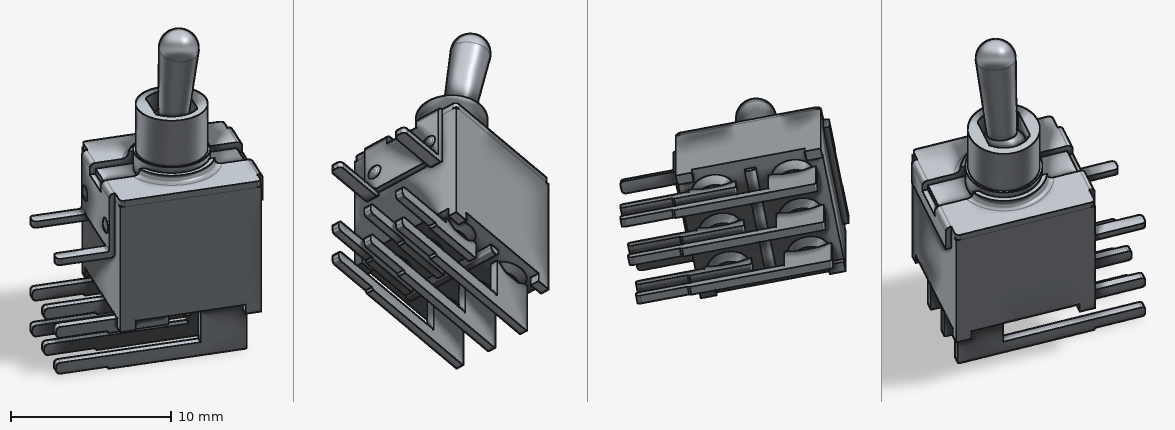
import cadquery as cq
import math

body_x = 8.13
body_y = 9.2
body_top = 8.87
recess_height = 0.65
recess_x = 6.9
recess_y = 7.18
rib_width = 0.7
rib_bottom = 0.12

plate_thickness = 0.42
plate_top = body_top + plate_thickness
plate_corner_radius = 0.27
tab_thickness = 0.375
tab_bend_radius = 0.35
rear_tab_x = 6.37
rear_tab_bottom = 7.44
front_tab_x = 5.9
slot_x = 2.36
slot_tab_bottom = 8.51
collar_radius = 2.72
collar_flare_radius = 0.4
collar_height = 0.46

leg_width = 0.81
leg_thickness = 0.45
leg_top = 5.19
leg_outer_bend = 0.28
leg_inner_bend = 0.12
tip_radius = 0.27
pin_end_y = -8.375

rivet_spacing = 4.36
rivet_z = 6.67
rivet_base_radius = 0.5
rivet_dome_radius = 0.35
rivet_flat_radius = 0.16
rivet_shoulder = 0.08
rivet_height = 0.14

flange_diameter = 4.8
flange_top = 10.15
bushing_diameter = 4.5
bushing_top = 13.39
bore_diameter = 3.45
bore_flats = 2.7

tilt_angle = 12.0
pivot_z = 10.97
ball_center_z = 11.4
ball_radius = 1.62
lever_length = 7.265
lever_root_radius = 0.84
lever_tip_radius = 1.265

pin_pitch = 2.54
pin_thickness = 0.52
lug_width = 3.0
pin_height = 0.94
blade_height = 0.79
step_y = -4.95
step_length = 0.14
heel_radius = 0.12
upper_pin_bottom = -0.66

mound_bottom = 0.27
mound_tip = (0.4, 0.79)
mound_base = (0.95, 1.33)


def slab(size_x, y_near, y_far, z_low, z_high):
    """Box centred on X = 0 between the given Y and Z limits."""
    box = cq.Workplane("XY").box(size_x, y_far - y_near, z_high - z_low, centered=(True, False, False))
    return box.translate((0, y_near, z_low))


def make_housing():
    """Block with a foot at each corner and a round-edged rib under its middle."""
    block = slab(body_x, -body_y / 2, body_y / 2, 0, body_top)
    block = block.cut(slab(recess_x, -body_y / 2, body_y / 2, 0, recess_height))
    block = block.cut(slab(body_x, -recess_y / 2, recess_y / 2, 0, recess_height))
    half_rib = rib_width / 2
    rib = (
        cq.Workplane("YZ")
        .moveTo(-half_rib, recess_height)
        .lineTo(-half_rib, rib_bottom + half_rib)
        .threePointArc((0, rib_bottom), (half_rib, rib_bottom + half_rib))
        .lineTo(half_rib, recess_height)
        .close()
        .extrude(recess_x / 2, both=True)
    )
    return block.union(rib)


def make_collar():
    """Ring on the plate whose outside flares out to meet the plate."""
    flare_end = collar_radius + collar_flare_radius
    flare_top = plate_top + collar_flare_radius
    collar_top = plate_top + collar_height
    chord_offset = collar_flare_radius * (1 - math.sqrt(0.5))
    return (
        cq.Workplane("XZ")
        .moveTo(0, plate_top)
        .lineTo(flare_end, plate_top)
        .threePointArc((collar_radius + chord_offset, plate_top + chord_offset), (collar_radius, flare_top))
        .lineTo(collar_radius, collar_top)
        .lineTo(0, collar_top)
        .close()
        .revolve(360, (0, 0, 0), (0, 1, 0))
    )


def make_frame():
    """Top plate, bent tabs at both ends, flared collar and the slot across them."""
    plate = slab(body_x, -body_y / 2, body_y / 2, body_top, plate_top)
    plate = plate.edges("|Z").fillet(plate_corner_radius)
    tab_y = body_y / 2 + tab_thickness
    rear_tab = slab(rear_tab_x, body_y / 2, tab_y, rear_tab_bottom, plate_top)
    rear_tab = rear_tab.edges(">Y and >Z").fillet(tab_bend_radius)
    rear_tab = rear_tab.cut(slab(slot_x, body_y / 2, tab_y, slot_tab_bottom, plate_top))
    front_tab = slab(front_tab_x, -tab_y, -body_y / 2, leg_top, plate_top)
    front_tab = front_tab.edges("<Y and >Z").fillet(tab_bend_radius)
    front_tab = front_tab.cut(slab(slot_x, -tab_y, -body_y / 2, slot_tab_bottom, plate_top))
    frame = plate.union(rear_tab).union(front_tab).union(make_collar())
    frame = frame.cut(slab(slot_x, -tab_y, tab_y, body_top, flange_top))
    for side in (-1, 1):
        leg_x = side * (front_tab_x - leg_width) / 2
        rivet_x = side * rivet_spacing / 2
        frame = frame.union(make_leg().translate((leg_x, 0, 0)))
        frame = frame.union(make_rivet().translate((rivet_x, -tab_y, rivet_z)))
    return frame


def make_leg():
    """Leg that bends from the front tab to the horizontal, with a rounded tip."""
    leg_bottom = leg_top - leg_thickness
    leg_root = -body_y / 2
    tab_face = leg_root - tab_thickness
    leg = slab(leg_width, pin_end_y, leg_root, leg_bottom, leg_top)
    leg = leg.edges("|Z and <Y").fillet(tip_radius)
    leg = leg.edges(">Y and <Z").fillet(leg_outer_bend)
    corner = slab(leg_width, tab_face - leg_inner_bend, tab_face, leg_top, leg_top + leg_inner_bend)
    round_cutter = (
        cq.Workplane("YZ")
        .center(tab_face - leg_inner_bend, leg_top + leg_inner_bend)
        .circle(leg_inner_bend)
        .extrude(leg_width, both=True)
    )
    return leg.union(corner.cut(round_cutter))


def make_rivet():
    """Low domed rivet head that rises toward -Y from the origin."""
    return (
        cq.Workplane("XY")
        .lineTo(rivet_base_radius, 0)
        .lineTo(rivet_dome_radius, -rivet_shoulder)
        .lineTo(rivet_flat_radius, -rivet_height)
        .lineTo(0, -rivet_height)
        .close()
        .revolve(360, (0, 0, 0), (0, 1, 0))
    )


def make_bushing():
    """Stepped sleeve with a flat-sided bore that ends at the middle of the lever ball."""
    flange = cq.Workplane("XY").workplane(offset=body_top).circle(flange_diameter / 2)
    flange = flange.extrude(flange_top - body_top)
    sleeve = cq.Workplane("XY").workplane(offset=body_top).circle(bushing_diameter / 2)
    sleeve = sleeve.extrude(bushing_top - body_top)
    bore = cq.Workplane("XY").workplane(offset=ball_center_z).circle(bore_diameter / 2)
    bore = bore.extrude(bushing_top - ball_center_z)
    bore = bore.intersect(slab(bore_diameter, -bore_flats / 2, bore_flats / 2, ball_center_z, bushing_top))
    return flange.union(sleeve).cut(bore)


def make_lever():
    """Tapered lever with a round tip on a ball that sits between the bore flats."""
    handle = (
        cq.Workplane("XZ")
        .lineTo(lever_root_radius, 0)
        .lineTo(lever_tip_radius, lever_length)
        .threePointArc(
            (lever_tip_radius * math.sqrt(0.5), lever_length + lever_tip_radius * math.sqrt(0.5)),
            (0, lever_length + lever_tip_radius),
        )
        .close()
        .revolve(360, (0, 0, 0), (0, 1, 0))
        .rotate((0, 0, 0), (0, 1, 0), tilt_angle)
        .translate((0, 0, pivot_z))
    )
    ball = cq.Workplane("XY").sphere(ball_radius)
    ball = ball.intersect(slab(2 * ball_radius, -bore_flats / 2, bore_flats / 2, -ball_radius, ball_radius))
    return ball.translate((0, 0, ball_center_z)).union(handle)


def make_terminal(lug_front, pin_bottom):
    """Flat lug that runs up into the housing, with a stepped blade toward -Y."""
    lug_back = lug_front + lug_width
    pin_top = pin_bottom + pin_height
    blade_bottom = pin_top - blade_height
    lug = slab(pin_thickness, lug_front, lug_back, pin_bottom, recess_height)
    lug = lug.edges("|X and >Y and <Z").fillet(heel_radius)
    arm = slab(pin_thickness, step_y, lug_front, pin_bottom, pin_top)
    blade = slab(pin_thickness, pin_end_y, step_y, blade_bottom, pin_top)
    blade = blade.edges("|X and <Y").fillet(tip_radius)
    ramp = (
        cq.Workplane("YZ")
        .moveTo(step_y, pin_bottom)
        .lineTo(step_y - step_length, blade_bottom)
        .lineTo(step_y, blade_bottom)
        .close()
        .extrude(pin_thickness / 2, both=True)
    )
    return lug.union(arm).union(blade).union(ramp)


def make_mound():
    """Tapered oval mound of sealant under the housing recess."""
    return (
        cq.Workplane("XY")
        .workplane(offset=mound_bottom)
        .ellipse(*mound_tip)
        .workplane(offset=recess_height - mound_bottom)
        .ellipse(*mound_base)
        .loft()
    )


def make_terminals():
    """Three upper terminals at the front and three lower ones at the back."""
    row_y = pin_pitch
    lower_pin_bottom = upper_pin_bottom - pin_pitch
    rows = ((-row_y, upper_pin_bottom), (row_y, lower_pin_bottom))
    terminals = cq.Workplane("XY")
    for y, pin_bottom in rows:
        terminal = make_terminal(y - lug_width / 2, pin_bottom).union(make_mound().translate((0, y, 0)))
        for column in (-1, 0, 1):
            terminals = terminals.union(terminal.translate((column * pin_pitch, 0, 0)))
    return terminals


result = (
    make_housing()
    .union(make_frame(), clean=False)
    .union(make_bushing(), clean=False)
    .union(make_lever(), clean=False)
    .union(make_terminals(), clean=False)
)